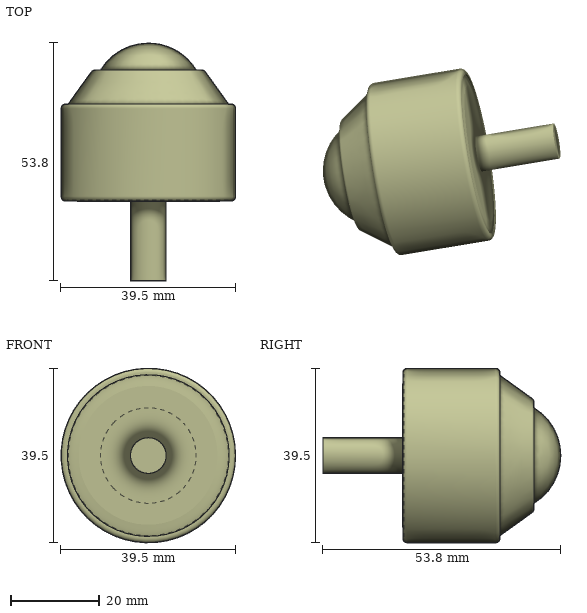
import cadquery as cq
import math

total_length = 53.8
stud_length = 17.95
stud_radius = 4.05
housing_length = 21.95
housing_radius = 19.75
rim_fillet = 1.0
rim_opening_radius = 18.3
base_radius = 15.7
base_bulge = 0.1
base_ring_recess = 0.25
cone_height = 7.7
cone_base_radius = 18.15
cone_top_radius = 12.6
cone_lip_fillet = 1.0
ball_opening_radius = 10.8

stud_end = -total_length / 2
base_face = stud_end + stud_length
housing_bottom = base_face + base_bulge
housing_top = housing_bottom + housing_length
cone_top = housing_top + cone_height
ball_tip = total_length / 2

cap_height = ball_tip - cone_top
ball_radius = (ball_opening_radius**2 + cap_height**2) / (2 * cap_height)


def revolve_about_y(profile):
    return profile.close().revolve(360, (0, 0, 0), (0, 1, 0))


def make_housing():
    """Rounded cylinder with a shallow conical base inside its lower rim."""
    drum = (
        cq.Workplane("XZ", origin=(0, housing_bottom, 0))
        .circle(housing_radius)
        .extrude(-housing_length)
        .edges()
        .fillet(rim_fillet)
    )
    rim_recess = (
        cq.Workplane("XZ", origin=(0, housing_bottom, 0))
        .circle(rim_opening_radius)
        .extrude(-base_ring_recess)
    )
    base = revolve_about_y(
        cq.Workplane("XY")
        .moveTo(0, base_face)
        .lineTo(base_radius, base_face)
        .lineTo(rim_opening_radius, housing_bottom + base_ring_recess)
        .lineTo(0, housing_bottom + base_ring_recess)
    )
    return drum.cut(rim_recess).union(base)


def make_cone():
    """Tapered ball retainer with a rounded lip."""
    cone = revolve_about_y(
        cq.Workplane("XY")
        .moveTo(0, housing_top)
        .lineTo(cone_base_radius, housing_top)
        .lineTo(cone_top_radius, cone_top)
        .lineTo(0, cone_top)
    )
    return cone.faces(">Y").edges().fillet(cone_lip_fillet)


def make_ball_cap():
    """Exposed part of the ball."""
    arc_angle = math.radians(30)
    arc_point = (
        ball_radius * math.sin(arc_angle),
        ball_tip - ball_radius * (1 - math.cos(arc_angle)),
    )
    return revolve_about_y(
        cq.Workplane("XY")
        .moveTo(0, cone_top)
        .lineTo(ball_opening_radius, cone_top)
        .threePointArc(arc_point, (0, ball_tip))
    )


def make_stud():
    """Plain mounting stud, seated on the base face."""
    return cq.Workplane("XZ", origin=(0, stud_end, 0)).circle(stud_radius).extrude(-stud_length)


result = make_housing().union(make_cone()).union(make_ball_cap()).union(make_stud())